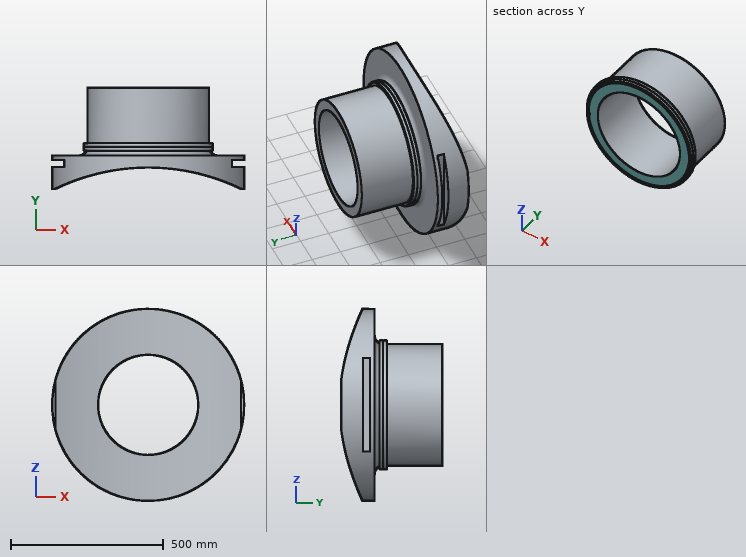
import cadquery as cq
import math

flange_radius = 315.0
flange_back = 110.0
total_length = 332.0
pipe_radius = 200.0
bore_radius = 164.0

saddle_depth = 70.0
saddle_half_width = 304.0

slot_front = 72.5
slot_width = 22.0
slot_floor = 275.0

collar_front = 125.5
collar_width = 25.0
collar_radius = 212.0
bead_edge_radius = 209.0
neck_radius = 202.0
neck_flare = 25.0


def revolved_body():
    """Flange, neck, collar and pipe as one profile turned about Y."""
    bead_width = collar_width / 2
    collar_middle = collar_front + bead_width
    collar_back = collar_front + collar_width
    neck_length = collar_front - flange_back
    neck_arc_radius = (neck_flare**2 + neck_length**2) / (2 * neck_length)
    neck_foot_radius = neck_radius + neck_flare
    half_angle = math.asin(neck_flare / neck_arc_radius) / 2
    neck_middle = (
        neck_foot_radius - neck_arc_radius * math.sin(half_angle),
        flange_back + neck_arc_radius * (1 - math.cos(half_angle)),
    )
    return (
        cq.Workplane("XY")
        .moveTo(0, 0)
        .lineTo(flange_radius, 0)
        .lineTo(flange_radius, flange_back)
        .lineTo(neck_foot_radius, flange_back)
        .threePointArc(neck_middle, (neck_radius, collar_front))
        .lineTo(bead_edge_radius, collar_front)
        .threePointArc(
            (collar_radius, collar_front + bead_width / 2),
            (bead_edge_radius, collar_middle),
        )
        .threePointArc(
            (collar_radius, collar_middle + bead_width / 2),
            (bead_edge_radius, collar_back),
        )
        .lineTo(pipe_radius, collar_back)
        .lineTo(pipe_radius, total_length)
        .lineTo(0, total_length)
        .close()
        .revolve(360, (0, 0, 0), (0, 1, 0))
    )


def saddle_cutter():
    """Segment of a cylinder along Z that hollows the front face."""
    return (
        cq.Workplane("XY")
        .moveTo(-saddle_half_width, 0)
        .threePointArc((0, saddle_depth), (saddle_half_width, 0))
        .close()
        .extrude(flange_radius * 1.1, both=True)
    )


def bore_cutter():
    """Through bore along Y."""
    return cq.Workplane("XZ").circle(bore_radius).extrude(-total_length)


def slot_cutter(side):
    """Straight slot in the flange rim; side is -1 or +1 along X."""
    slot_depth = flange_radius - slot_floor
    return cq.Workplane("XY").box(slot_depth, slot_width, 2 * flange_radius).translate(
        (side * (slot_floor + slot_depth / 2), slot_front + slot_width / 2, 0)
    )


result = revolved_body().cut(saddle_cutter()).cut(bore_cutter())
for side in (-1, 1):
    result = result.cut(slot_cutter(side))